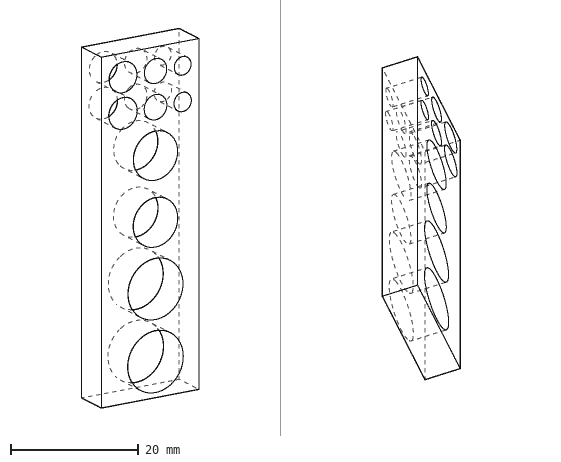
import cadquery as cq

THICKNESS = 6.0
WIDTH = 18.0
HEIGHT = 58.0

SMALL_HOLE_Y = (6.0, 1.0, -5.0)
UPPER_ROW_Z = 25.0
LOWER_ROW_Z = 19.0
UPPER_ROW_DIAMETERS = (3.1, 4.1, 5.1)
LOWER_ROW_DIAMETERS = (3.2, 4.2, 5.2)

LARGE_HOLE_Y = SMALL_HOLE_Y[1]
LARGE_HOLES = (
    (11.0, 8.1),
    (0.0, 8.2),
    (-11.0, 10.1),
    (-23.0, 10.2),
)


def through_hole(y, z, diameter):
    """Cylinder along X that passes through the full plate thickness."""
    return (
        cq.Workplane("YZ")
        .center(y, z)
        .circle(diameter / 2)
        .extrude(THICKNESS, both=True)
    )


result = cq.Workplane("XY").box(THICKNESS, WIDTH, HEIGHT)

for row_z, diameters in (
    (UPPER_ROW_Z, UPPER_ROW_DIAMETERS),
    (LOWER_ROW_Z, LOWER_ROW_DIAMETERS),
):
    for hole_y, hole_diameter in zip(SMALL_HOLE_Y, diameters):
        result = result.cut(through_hole(hole_y, row_z, hole_diameter))

for hole_z, hole_diameter in LARGE_HOLES:
    result = result.cut(through_hole(LARGE_HOLE_Y, hole_z, hole_diameter))